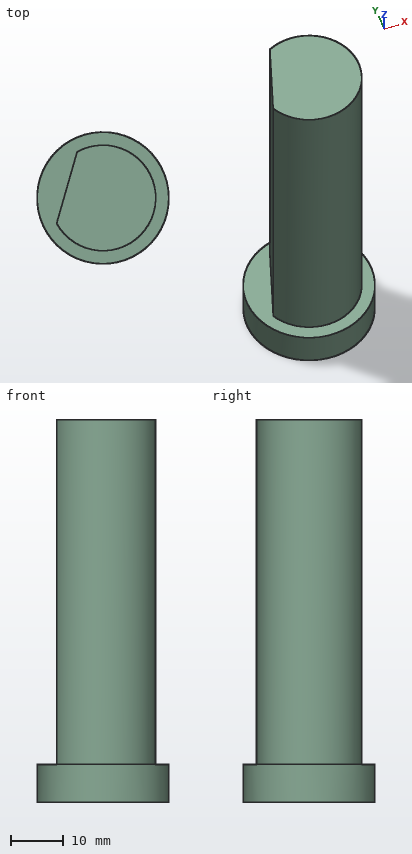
import cadquery as cq

total_height = 72.55
flange_diameter = 25.0
flange_height = 7.2
shaft_diameter = 20.0

flat_distance = 7.1
flat_angle = 16.0

shaft_height = total_height - flange_height


def make_flange():
    return cq.Workplane("XY").circle(flange_diameter / 2).extrude(flange_height)


def make_shaft():
    """Round shaft standing on the flange, cut by one flat on its -X side."""
    base = cq.Workplane("XY").workplane(offset=flange_height)
    shaft = base.circle(shaft_diameter / 2).extrude(shaft_height)
    block = (
        base.center(-flat_distance - shaft_diameter / 2, 0)
        .rect(shaft_diameter, shaft_diameter)
        .extrude(shaft_height)
        .rotate((0, 0, 0), (0, 0, 1), -flat_angle)
    )
    return shaft.cut(block)


result = make_flange().union(make_shaft())